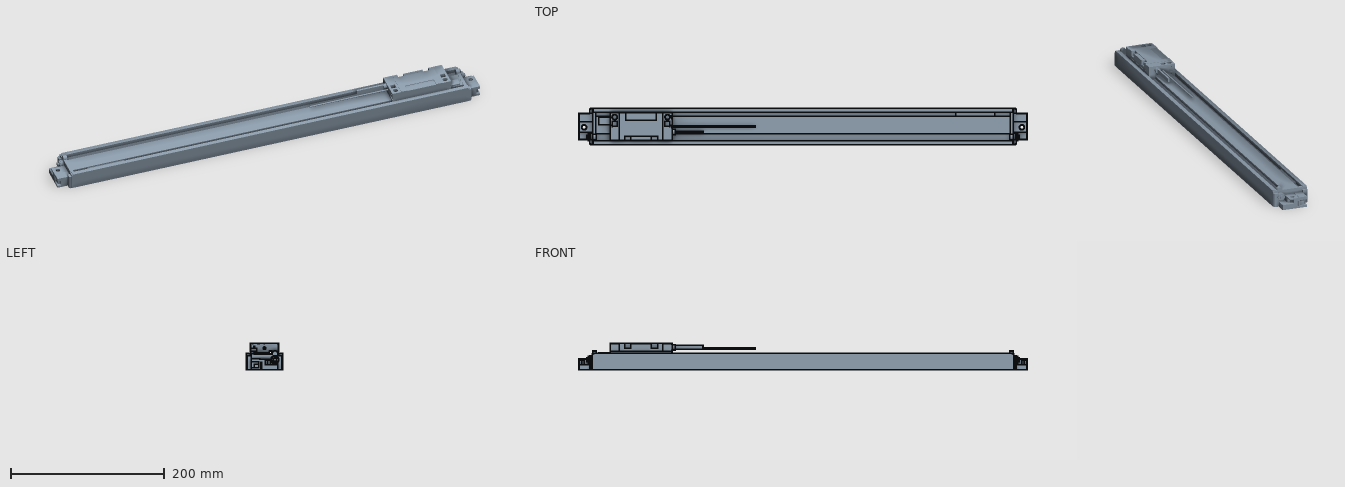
import cadquery as cq

TOTAL_LENGTH = 584.0
BASE_WIDTH = 47.9
BASE_HEIGHT = 22.0
TOTAL_HEIGHT = 35.0
END_X = TOTAL_LENGTH / 2

FOOT_LENGTH = 14.0
CAP_LENGTH = 5.0
RAIL_LENGTH = TOTAL_LENGTH - 2 * (FOOT_LENGTH + CAP_LENGTH)
WALL_INNER_Y = 18.4
COVER_BACK_Y = 13.2
COVER_FRONT_Y = -9.1
COVER_HEIGHT = 20.5
GROOVE_FLOOR = 17.0

INSERT_START_X = 199.0
INSERT_LENGTH = 50.8
INSERT_TOP = 19.0

CAP_CHAMFER = 1.5
CAP_HEIGHT = 21.0
LIP_LENGTH = 4.2
LIP_OUTER_LENGTH = 1.0
CAP_EAR_LENGTH = 3.2
CAP_EAR_HEIGHT = 18.3
CAP_EAR_SETBACK = 0.3

FOOT_WIDTH = 34.0
FOOT_PLATE_HEIGHT = 7.0
FOOT_HEIGHT = 14.5
FOOT_STEP_Y = -7.5
FOOT_HOLE_INSET = 6.8
FOOT_HOLE_Y = -1.0
FOOT_HOLE_DIAMETER = 6.0
FOOT_SHELF_BACK_Y = 6.1
FOOT_SHELF_DEPTH = 0.5
FOOT_MOUTH_TOP = 12.5
FOOT_NOTCH_LENGTH = 5.0
FOOT_NOTCH_WIDTH = 9.6
FOOT_NOTCH_BOTTOM = 3.0
FOOT_NOTCH_TOP = 10.5
FOOT_BAR_INSET = 2.0
FOOT_BAR_WIDTH = 6.0
FOOT_BAR_TOP = 7.5
FOOT_SLOT_Y = 4.4
FOOT_SLOT_WIDTH = 1.2
FOOT_SLOT_DEPTH = 2.0
FOOT_SLOT_BOTTOM = 2.5
FOOT_SLOT_TOP = 10.0

PLUG_Y = -13.7
PLUG_Z = 13.3
PLUG_RADIUS = 4.8
PLUG_INSET = 12.3
PLUG_TIP_RADIUS = 2.4
PLUG_TIP_LENGTH = 2.1
PLUG_COLLAR_RADIUS = 5.3
PLUG_COLLAR_LENGTH = 1.5
PLUG_COLLAR_OFFSET = 1.7
PAD_RADIUS = 3.8
PAD_TOP = 25.0
PAD_LENGTH = 5.0
PAD_INSET = 18.0

CARRIAGE_INSET = 40.6
CARRIAGE_START_X = -END_X + CARRIAGE_INSET
CARRIAGE_LENGTH = 81.0
CARRIAGE_WIDTH = 36.5
CARRIAGE_END_X = CARRIAGE_START_X + CARRIAGE_LENGTH
CARRIAGE_MIDDLE_X = CARRIAGE_START_X + CARRIAGE_LENGTH / 2
CARRIAGE_BOTTOM = 24.5
CARRIAGE_CAP_LENGTH = 12.3
SLIDER_LENGTH = CARRIAGE_LENGTH - 2 * CARRIAGE_CAP_LENGTH
SLIDER_SETBACK = 0.6
RUNNER_CLEARANCE = 0.4

WINDOW_LENGTH = 43.0
WINDOW_DEPTH = 5.0
WINDOW_BOTTOM = 28.5
WINDOW_SHELF_LENGTH = 27.0
WINDOW_SHELF_DROP = 0.8
BACK_RECESS_LENGTH = 40.0
BACK_RECESS_WIDTH = 10.3
BACK_RECESS_DEPTH = 0.8

CARRIAGE_CAP_DROP = 0.4
CARRIAGE_CAP_TOP = TOTAL_HEIGHT - CARRIAGE_CAP_DROP
CAP_RECESS_DIAMETER = 6.5
CAP_RECESS_DEPTH = 6.0
CAP_RECESS_Y = 12.3
CAP_POCKET_SIZE = 6.5
CAP_POCKET_Y = 3.6
CAP_SCREW_DIAMETER = 1.6
CAP_SCREW_Y = 13.2
CAP_SCREW_Z = 30.2
CAP_LEAD_HOLE_DIAMETER = 3.0
CAP_HOLE_DEPTH = 3.0
CAP_NOTCH_DEPTH = 1.0
CAP_NOTCH_FRONT_Y = 10.0
CAP_NOTCH_TOP = 28.3

SADDLE_FRONT_Y = -6.5
SADDLE_BOTTOM = 22.0

TONGUE_LENGTH = 14.6
TONGUE_BACK_Y = 12.4
TONGUE_FRONT_Y = 2.6
TONGUE_TOP = 22.5

CABLE_LENGTH = 40.4
CABLE_END_X = CARRIAGE_END_X + CABLE_LENGTH
CABLE_Y = -7.0
CABLE_Z = 29.5
CABLE_WIDTH = 2.4
CABLE_HEIGHT = 5.5
SLEEVE_RADIUS = 3.5
SLEEVE_LENGTH = 4.0
LEAD_LENGTH = 107.9
LEAD_END_X = CARRIAGE_END_X + LEAD_LENGTH
LEAD_Y = 0.0
LEAD_Z = 28.2
LEAD_DIAMETER = 2.0


def block(x_range, y_range, z_range):
    """Box between the given limits."""
    (x0, x1), (y0, y1), (z0, z1) = x_range, y_range, z_range
    return cq.Workplane("XY").box(x1 - x0, y1 - y0, z1 - z0, centered=False).translate((x0, y0, z0))


def rod(x_start, length, y, z, radius):
    """Cylinder along X."""
    return cq.Workplane("YZ", origin=(x_start, y, z)).circle(radius).extrude(length)


def make_rail():
    half_width = BASE_WIDTH / 2
    profile = [
        (-half_width, 0),
        (half_width, 0),
        (half_width, BASE_HEIGHT),
        (WALL_INNER_Y, BASE_HEIGHT),
        (WALL_INNER_Y, GROOVE_FLOOR),
        (COVER_BACK_Y, GROOVE_FLOOR),
        (COVER_BACK_Y, COVER_HEIGHT),
        (COVER_FRONT_Y, COVER_HEIGHT),
        (COVER_FRONT_Y, GROOVE_FLOOR),
        (-WALL_INNER_Y, GROOVE_FLOOR),
        (-WALL_INNER_Y, BASE_HEIGHT),
        (-half_width, BASE_HEIGHT),
    ]
    rail = cq.Workplane("YZ", origin=(-RAIL_LENGTH / 2, 0, 0)).polyline(profile).close().extrude(RAIL_LENGTH)
    insert = block(
        (INSERT_START_X, INSERT_START_X + INSERT_LENGTH),
        (COVER_BACK_Y, WALL_INNER_Y),
        (GROOVE_FLOOR, INSERT_TOP),
    )
    return rail.union(insert)


def make_foot():
    """Mounting foot of the left end."""
    foot_x = (-END_X, -END_X + FOOT_LENGTH + CAP_LENGTH - LIP_OUTER_LENGTH)
    half_width = FOOT_WIDTH / 2
    foot = block(foot_x, (-half_width, half_width), (0, FOOT_PLATE_HEIGHT))
    foot = foot.union(block(foot_x, (FOOT_STEP_Y, half_width), (0, FOOT_HEIGHT)))
    shelf = block(foot_x, (FOOT_STEP_Y, FOOT_SHELF_BACK_Y), (FOOT_HEIGHT - FOOT_SHELF_DEPTH, FOOT_HEIGHT))
    hole_x = -END_X + FOOT_HOLE_INSET
    hole = cq.Workplane("XY", origin=(hole_x, FOOT_HOLE_Y, 0))
    hole = hole.circle(FOOT_HOLE_DIAMETER / 2).extrude(FOOT_HEIGHT)
    mouth = block((-END_X, hole_x), (FOOT_STEP_Y, FOOT_HOLE_Y), (FOOT_PLATE_HEIGHT, FOOT_MOUTH_TOP))
    notch = block(
        (-END_X, -END_X + FOOT_NOTCH_LENGTH),
        (half_width - FOOT_NOTCH_WIDTH, half_width),
        (FOOT_NOTCH_BOTTOM, FOOT_NOTCH_TOP),
    )
    bar_front_y = half_width - FOOT_NOTCH_WIDTH
    bar = block(
        (-END_X + FOOT_BAR_INSET, -END_X + FOOT_NOTCH_LENGTH),
        (bar_front_y, bar_front_y + FOOT_BAR_WIDTH),
        (FOOT_NOTCH_BOTTOM, FOOT_BAR_TOP),
    )
    slot = block(
        (-END_X, -END_X + FOOT_SLOT_DEPTH),
        (FOOT_SLOT_Y - FOOT_SLOT_WIDTH / 2, FOOT_SLOT_Y + FOOT_SLOT_WIDTH / 2),
        (FOOT_SLOT_BOTTOM, FOOT_SLOT_TOP),
    )
    return foot.cut(shelf).cut(hole).cut(mouth).cut(notch).cut(slot).union(bar)


def make_cap():
    """End cap of the left end: two ears beside the foot and the lip between them."""
    cap_x = -END_X + FOOT_LENGTH
    rail_x = cap_x + CAP_LENGTH
    lip_x = rail_x - LIP_OUTER_LENGTH
    half_width = BASE_WIDTH / 2
    inner_y = FOOT_WIDTH / 2
    ear_y = half_width - CAP_EAR_SETBACK
    ear_end_x = cap_x + CAP_EAR_LENGTH
    cap = block((ear_end_x, rail_x), (-half_width, half_width), (0, CAP_HEIGHT))
    ears = block((cap_x, ear_end_x), (-ear_y, ear_y), (0, CAP_EAR_HEIGHT))
    ears = ears.faces("<X").edges("|Z").chamfer(CAP_CHAMFER)
    foot_gap = block((cap_x, lip_x), (-inner_y, inner_y), (0, CAP_HEIGHT))
    lip = block((lip_x, lip_x + LIP_LENGTH), (-WALL_INNER_Y, WALL_INNER_Y), (GROOVE_FLOOR, CAP_HEIGHT))
    return cap.union(ears).cut(foot_gap).union(lip)


def make_end():
    """End cap, foot, plug and stop pad of the left end."""
    plug_x = -END_X + PLUG_INSET
    plug_end_x = -END_X + FOOT_LENGTH + CAP_LENGTH
    plug = rod(plug_x, plug_end_x - plug_x, PLUG_Y, PLUG_Z, PLUG_RADIUS)
    tip = rod(plug_x - PLUG_TIP_LENGTH, PLUG_TIP_LENGTH, PLUG_Y, PLUG_Z, PLUG_TIP_RADIUS)
    collar = rod(plug_x + PLUG_COLLAR_OFFSET, PLUG_COLLAR_LENGTH, PLUG_Y, PLUG_Z, PLUG_COLLAR_RADIUS)
    pad = rod(-END_X + PAD_INSET, PAD_LENGTH, PLUG_Y, PAD_TOP - PAD_RADIUS, PAD_RADIUS)
    return make_cap().union(make_foot()).union(plug).union(tip).union(collar).union(pad)


def make_base():
    end = make_end()
    return make_rail().union(end).union(end.mirror("YZ"))


def make_slider():
    """Middle of the carriage with its front window and back recess."""
    half_length = SLIDER_LENGTH / 2
    front_y = -CARRIAGE_WIDTH / 2 + SLIDER_SETBACK
    back_y = CARRIAGE_WIDTH / 2
    slider = block(
        (CARRIAGE_MIDDLE_X - half_length, CARRIAGE_MIDDLE_X + half_length),
        (front_y, back_y),
        (CARRIAGE_BOTTOM, TOTAL_HEIGHT),
    )
    window = block(
        (CARRIAGE_MIDDLE_X - WINDOW_LENGTH / 2, CARRIAGE_MIDDLE_X + WINDOW_LENGTH / 2),
        (front_y, front_y + WINDOW_DEPTH),
        (WINDOW_BOTTOM, TOTAL_HEIGHT),
    )
    shelf = block(
        (CARRIAGE_MIDDLE_X - WINDOW_SHELF_LENGTH / 2, CARRIAGE_MIDDLE_X + WINDOW_SHELF_LENGTH / 2),
        (front_y, front_y + WINDOW_DEPTH),
        (WINDOW_BOTTOM, TOTAL_HEIGHT - WINDOW_SHELF_DROP),
    )
    recess = block(
        (CARRIAGE_MIDDLE_X - BACK_RECESS_LENGTH / 2, CARRIAGE_MIDDLE_X + BACK_RECESS_LENGTH / 2),
        (back_y - BACK_RECESS_WIDTH, back_y),
        (TOTAL_HEIGHT - BACK_RECESS_DEPTH, TOTAL_HEIGHT),
    )
    return slider.cut(window).union(shelf).cut(recess)


def make_carriage_cap():
    """Left end cap of the carriage."""
    x_range = (CARRIAGE_START_X, CARRIAGE_START_X + CARRIAGE_CAP_LENGTH)
    back_y = CARRIAGE_WIDTH / 2
    cap = block(x_range, (-back_y, back_y), (CARRIAGE_BOTTOM, CARRIAGE_CAP_TOP))
    middle_x = CARRIAGE_START_X + CARRIAGE_CAP_LENGTH / 2
    floor = CARRIAGE_CAP_TOP - CAP_RECESS_DEPTH
    recess = cq.Workplane("XY", origin=(middle_x, CAP_RECESS_Y, floor))
    recess = recess.circle(CAP_RECESS_DIAMETER / 2).extrude(CAP_RECESS_DEPTH)
    half_pocket = CAP_POCKET_SIZE / 2
    pocket = block(
        (middle_x - half_pocket, middle_x + half_pocket),
        (CAP_POCKET_Y - half_pocket, CAP_POCKET_Y + half_pocket),
        (floor, CARRIAGE_CAP_TOP),
    )
    notch = block(
        (CARRIAGE_START_X, CARRIAGE_START_X + CAP_NOTCH_DEPTH),
        (CAP_NOTCH_FRONT_Y, back_y),
        (CARRIAGE_BOTTOM, CAP_NOTCH_TOP),
    )
    screw_hole = rod(CARRIAGE_START_X, CAP_HOLE_DEPTH, CAP_SCREW_Y, CAP_SCREW_Z, CAP_SCREW_DIAMETER / 2)
    lead_hole = rod(CARRIAGE_START_X, CAP_HOLE_DEPTH, LEAD_Y, LEAD_Z, CAP_LEAD_HOLE_DIAMETER / 2)
    return cap.cut(recess).cut(pocket).cut(notch).cut(screw_hole).cut(lead_hole)


def make_carriage():
    left_cap = make_carriage_cap()
    right_cap = left_cap.mirror("YZ", (CARRIAGE_MIDDLE_X, 0, 0))
    saddle = block(
        (CARRIAGE_START_X, CARRIAGE_END_X),
        (SADDLE_FRONT_Y, WALL_INNER_Y - RUNNER_CLEARANCE),
        (SADDLE_BOTTOM, CARRIAGE_BOTTOM),
    )
    carriage = make_slider().union(left_cap).union(right_cap).union(saddle)
    for y0, y1 in ((COVER_BACK_Y, WALL_INNER_Y), (-WALL_INNER_Y, COVER_FRONT_Y)):
        runner = block(
            (CARRIAGE_START_X, CARRIAGE_END_X),
            (y0 + RUNNER_CLEARANCE, y1 - RUNNER_CLEARANCE),
            (GROOVE_FLOOR, CARRIAGE_BOTTOM),
        )
        carriage = carriage.union(runner)
    tongue = block(
        (CARRIAGE_START_X - TONGUE_LENGTH, CARRIAGE_START_X + CARRIAGE_CAP_LENGTH),
        (TONGUE_FRONT_Y, TONGUE_BACK_Y),
        (COVER_HEIGHT, TONGUE_TOP),
    )
    tongue_root = block(
        (CARRIAGE_START_X, CARRIAGE_START_X + CARRIAGE_CAP_LENGTH),
        (TONGUE_FRONT_Y, TONGUE_BACK_Y),
        (TONGUE_TOP, CARRIAGE_BOTTOM),
    )
    sleeve = rod(CARRIAGE_END_X, SLEEVE_LENGTH, CABLE_Y, CABLE_Z, SLEEVE_RADIUS)
    cable = block(
        (CARRIAGE_END_X, CABLE_END_X),
        (CABLE_Y - CABLE_WIDTH / 2, CABLE_Y + CABLE_WIDTH / 2),
        (CABLE_Z - CABLE_HEIGHT / 2, CABLE_Z + CABLE_HEIGHT / 2),
    )
    lead_x = CARRIAGE_END_X - CAP_HOLE_DEPTH
    lead = rod(lead_x, LEAD_END_X - lead_x, LEAD_Y, LEAD_Z, LEAD_DIAMETER / 2)
    for piece in (tongue, tongue_root, sleeve, cable, lead):
        carriage = carriage.union(piece)
    return carriage


base = make_base()
carriage = make_carriage()
result = cq.Compound.makeCompound([base.solids().val(), carriage.solids().val()])